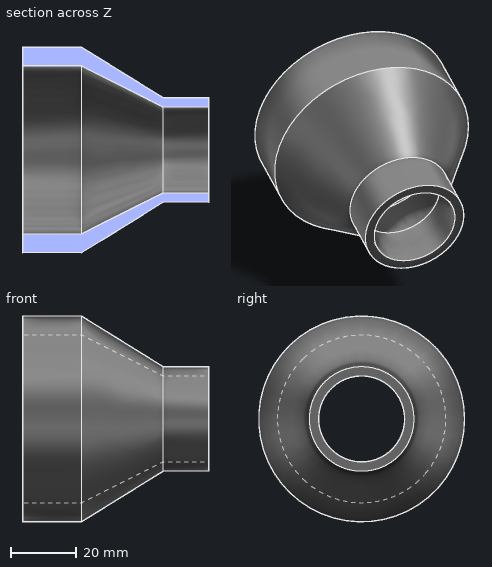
import cadquery as cq

large_outer_diameter = 63.0
large_bore_diameter = 51.4
small_outer_diameter = 32.0
small_bore_diameter = 26.2

large_collar_length = 18.0
cone_length = 25.0
small_collar_length = 14.0

cone_end = large_collar_length + cone_length
total_length = cone_end + small_collar_length


def reducer_solid(large_diameter, small_diameter):
    """Large cylinder, cone and small cylinder revolved about the X axis."""
    large_radius = large_diameter / 2
    small_radius = small_diameter / 2
    return (
        cq.Workplane("XY")
        .moveTo(0, 0)
        .lineTo(0, large_radius)
        .lineTo(large_collar_length, large_radius)
        .lineTo(cone_end, small_radius)
        .lineTo(total_length, small_radius)
        .lineTo(total_length, 0)
        .close()
        .revolve(360, (0, 0, 0), (1, 0, 0))
    )


body = reducer_solid(large_outer_diameter, small_outer_diameter)
passage = reducer_solid(large_bore_diameter, small_bore_diameter)

result = body.cut(passage)